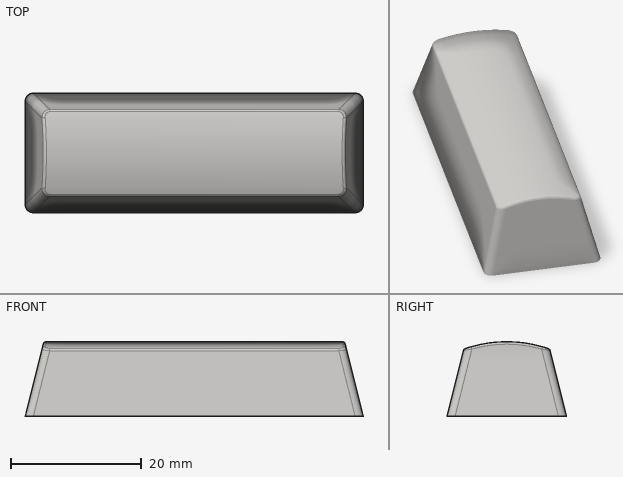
import cadquery as cq
import math

length = 51.65
width = 18.3
height = 11.4
draft_angle = 14.0
corner_radius = 1.3
rim_radius = 0.5
crown_drop = 1.15

wall_height = height - crown_drop
dome_half_width = width / 2 - wall_height * math.tan(math.radians(draft_angle))
dome_radius = (dome_half_width**2 + crown_drop**2) / (2 * crown_drop)


def tapered_body():
    """Block with four leaning walls and rounded corner edges."""
    block = cq.Workplane("XY").rect(length, width).extrude(height, taper=draft_angle)
    sloping_edges = block.edges("not(#Z or |X or |Y)")
    return sloping_edges.fillet(corner_radius)


def dome_envelope():
    """Full-length bar whose upper side is the dome, carried out to the base width."""
    half_width = width / 2
    shoulder_height = height - dome_radius + math.sqrt(dome_radius**2 - half_width**2)
    return (
        cq.Workplane("YZ")
        .moveTo(-half_width, 0)
        .lineTo(-half_width, shoulder_height)
        .threePointArc((0, height), (half_width, shoulder_height))
        .lineTo(half_width, 0)
        .close()
        .extrude(length / 2, both=True)
    )


domed_body = tapered_body().intersect(dome_envelope())

result = domed_body.faces(">Z").edges().fillet(rim_radius)